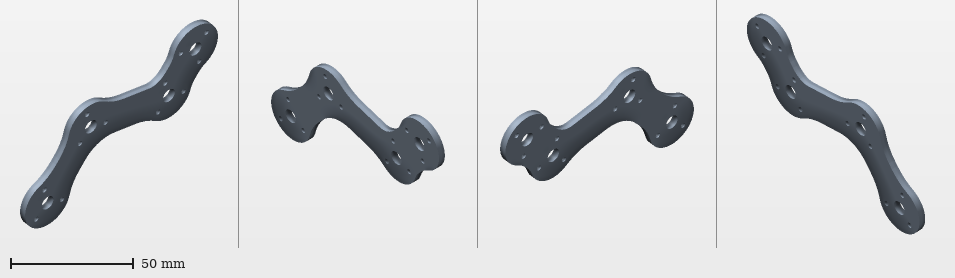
import cadquery as cq
import math

THICKNESS = 3.175
PAD_RADIUS = 12.065
ARM_HALF_WIDTH = 8.065
SHORT_ARM_HALF_WIDTH = 10.03

SHORT_ARM_LENGTH = 22.28
MIDDLE_ARM_LENGTH = 42.5
LONG_ARM_LENGTH = 36.39
END_ARM_SLOPE = 50.26
MIDDLE_ARM_SLOPE = 9.8

FLARE_RADIUS = 25.4
SHORT_FLARE_RADIUS = 12.7
ELBOW_B_RADIUS = 8.0
ELBOW_C_RADIUS = 16.7

CENTRE_HOLE_DIAMETER = 6.35
SCREW_HOLE_DIAMETER = 2.38
SCREW_CIRCLE_RADIUS = 8.15
SCREWS_PER_PAD = 3
SCREW_ANGLE_A = 44.0
SCREW_ANGLE_BC = 104.3
SCREW_ANGLE_D = 101.6


def polar(radius, degrees):
    angle = math.radians(degrees)
    return cq.Vector(radius * math.cos(angle), radius * math.sin(angle))


SHORT_ALONG = polar(1, 180 + END_ARM_SLOPE)
MIDDLE_ALONG = polar(1, 180 - MIDDLE_ARM_SLOPE)
LONG_ALONG = SHORT_ALONG
SHORT_UP = polar(1, 90 + END_ARM_SLOPE)
MIDDLE_UP = polar(1, 90 - MIDDLE_ARM_SLOPE)
LONG_UP = SHORT_UP

PAD_A = cq.Vector(0, 0)
PAD_B = PAD_A + SHORT_ALONG * SHORT_ARM_LENGTH
PAD_C = PAD_B + MIDDLE_ALONG * MIDDLE_ARM_LENGTH
PAD_D = PAD_C + LONG_ALONG * LONG_ARM_LENGTH


def flare_center(pad, away, side, half_width=ARM_HALF_WIDTH, radius=FLARE_RADIUS):
    """Centre of the arc tangent to a pad and to the edge of the arm leaving it."""
    offset = half_width + radius
    distance = math.sqrt((PAD_RADIUS + radius) ** 2 - offset**2)
    return pad + away * distance + side * offset


def short_flare_center(pad, away, side):
    """Centre of a flare at either end of the short arm."""
    return flare_center(pad, away, side, SHORT_ARM_HALF_WIDTH, SHORT_FLARE_RADIUS)


def elbow_b_center(flare):
    """Centre of the arc tangent to pad B's upper flare, inside it, and to the middle arm's upper edge."""
    to_flare = flare - PAD_B
    offset = ARM_HALF_WIDTH + ELBOW_B_RADIUS
    across = to_flare.dot(MIDDLE_UP) - offset
    back = math.sqrt((SHORT_FLARE_RADIUS - ELBOW_B_RADIUS) ** 2 - across**2)
    distance = to_flare.dot(MIDDLE_ALONG) - back
    return PAD_B + MIDDLE_ALONG * distance + MIDDLE_UP * offset


def elbow_c_center():
    """Centre of the arc tangent to the lower edges of the middle and long arms."""
    half_turn = math.radians(END_ARM_SLOPE + MIDDLE_ARM_SLOPE) / 2
    bisector = (MIDDLE_UP + LONG_UP).normalized()
    return PAD_C - bisector * ((ARM_HALF_WIDTH + ELBOW_C_RADIUS) / math.cos(half_turn))


def on_pad(pad, blend_center):
    """Point where a blend arc touches a pad."""
    return pad + (blend_center - pad).normalized() * PAD_RADIUS


def as_pair(point):
    return (point.x, point.y)


def add_arc(path, center, start, end):
    """Extend the path by the shorter arc about the centre; the path already stands at the start."""
    radius = (end - center).Length
    middle = center + (start + end - center * 2).normalized() * radius
    return path.threePointArc(as_pair(middle), as_pair(end))


def add_line(path, end):
    return path.lineTo(*as_pair(end))


def add_end_pad(path, pad, outward, end):
    """Extend the path around the far side of pad A or D."""
    middle = pad + outward * PAD_RADIUS
    return path.threePointArc(as_pair(middle), as_pair(end))


def plate():
    flare_a_top = short_flare_center(PAD_A, SHORT_ALONG, SHORT_UP)
    flare_a_bottom = short_flare_center(PAD_A, SHORT_ALONG, -SHORT_UP)
    flare_b_top = short_flare_center(PAD_B, -SHORT_ALONG, SHORT_UP)
    flare_b_bottom = short_flare_center(PAD_B, -SHORT_ALONG, -SHORT_UP)
    elbow_b = elbow_b_center(flare_b_top)
    elbow_c = elbow_c_center()
    flare_b_middle = flare_center(PAD_B, MIDDLE_ALONG, -MIDDLE_UP)
    flare_c_middle = flare_center(PAD_C, -MIDDLE_ALONG, MIDDLE_UP)
    flare_c_long = flare_center(PAD_C, LONG_ALONG, LONG_UP)
    flare_d_top = flare_center(PAD_D, -LONG_ALONG, LONG_UP)
    flare_d_bottom = flare_center(PAD_D, -LONG_ALONG, -LONG_UP)

    a_top = on_pad(PAD_A, flare_a_top)
    short_top_start = flare_a_top - SHORT_UP * SHORT_FLARE_RADIUS
    short_top_end = flare_b_top - SHORT_UP * SHORT_FLARE_RADIUS
    elbow_b_start = flare_b_top + (elbow_b - flare_b_top).normalized() * SHORT_FLARE_RADIUS
    elbow_b_end = elbow_b - MIDDLE_UP * ELBOW_B_RADIUS
    middle_top_end = flare_c_middle - MIDDLE_UP * FLARE_RADIUS
    c_start = on_pad(PAD_C, flare_c_middle)
    c_end = on_pad(PAD_C, flare_c_long)
    long_top_start = flare_c_long - LONG_UP * FLARE_RADIUS
    long_top_end = flare_d_top - LONG_UP * FLARE_RADIUS
    d_top = on_pad(PAD_D, flare_d_top)

    path = cq.Workplane("YZ").moveTo(*as_pair(a_top))
    path = add_arc(path, flare_a_top, a_top, short_top_start)
    path = add_line(path, short_top_end)
    path = add_arc(path, flare_b_top, short_top_end, elbow_b_start)
    path = add_arc(path, elbow_b, elbow_b_start, elbow_b_end)
    path = add_line(path, middle_top_end)
    path = add_arc(path, flare_c_middle, middle_top_end, c_start)
    path = add_arc(path, PAD_C, c_start, c_end)
    path = add_arc(path, flare_c_long, c_end, long_top_start)
    path = add_line(path, long_top_end)
    path = add_arc(path, flare_d_top, long_top_end, d_top)

    d_bottom = on_pad(PAD_D, flare_d_bottom)
    long_bottom_end = flare_d_bottom + LONG_UP * FLARE_RADIUS
    elbow_c_start = elbow_c + LONG_UP * ELBOW_C_RADIUS
    elbow_c_end = elbow_c + MIDDLE_UP * ELBOW_C_RADIUS
    middle_bottom_end = flare_b_middle + MIDDLE_UP * FLARE_RADIUS
    b_start = on_pad(PAD_B, flare_b_middle)
    b_end = on_pad(PAD_B, flare_b_bottom)
    short_bottom_end = flare_b_bottom + SHORT_UP * SHORT_FLARE_RADIUS
    short_bottom_start = flare_a_bottom + SHORT_UP * SHORT_FLARE_RADIUS
    a_bottom = on_pad(PAD_A, flare_a_bottom)

    path = add_end_pad(path, PAD_D, LONG_ALONG, d_bottom)
    path = add_arc(path, flare_d_bottom, d_bottom, long_bottom_end)
    path = add_line(path, elbow_c_start)
    path = add_arc(path, elbow_c, elbow_c_start, elbow_c_end)
    path = add_line(path, middle_bottom_end)
    path = add_arc(path, flare_b_middle, middle_bottom_end, b_start)
    path = add_arc(path, PAD_B, b_start, b_end)
    path = add_arc(path, flare_b_bottom, b_end, short_bottom_end)
    path = add_line(path, short_bottom_start)
    path = add_arc(path, flare_a_bottom, short_bottom_start, a_bottom)
    path = add_end_pad(path, PAD_A, -SHORT_ALONG, a_top)
    return path.close().extrude(THICKNESS)


def drill(body, centers, diameter):
    """Cut through holes at the given points of the plate."""
    points = [as_pair(center) for center in centers]
    holes = cq.Workplane("YZ").pushPoints(points).circle(diameter / 2).extrude(THICKNESS)
    return body.cut(holes)


def screw_centers(pad, first_angle):
    step = 360 / SCREWS_PER_PAD
    return [pad + polar(SCREW_CIRCLE_RADIUS, first_angle + i * step) for i in range(SCREWS_PER_PAD)]


PADS_AND_SCREW_ANGLES = [
    (PAD_A, SCREW_ANGLE_A),
    (PAD_B, SCREW_ANGLE_BC),
    (PAD_C, SCREW_ANGLE_BC),
    (PAD_D, SCREW_ANGLE_D),
]

result = plate()
for pad_center, screw_angle in PADS_AND_SCREW_ANGLES:
    result = drill(result, [pad_center], CENTRE_HOLE_DIAMETER)
    result = drill(result, screw_centers(pad_center, screw_angle), SCREW_HOLE_DIAMETER)